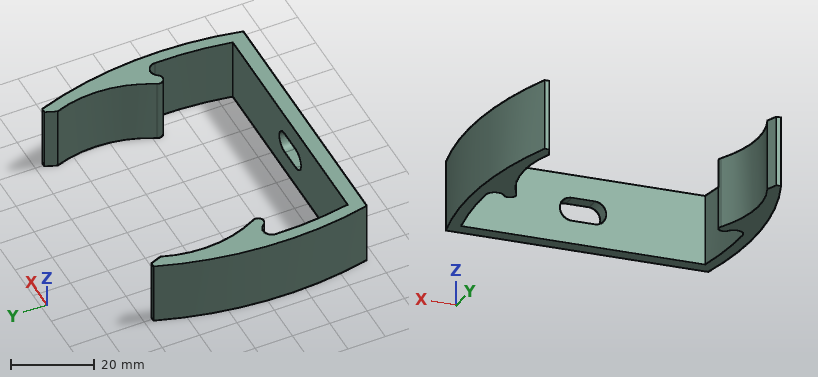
import cadquery as cq
import math

overall_width = 73.0
overall_depth = 55.5
height = 18.0

base_thickness = 4.0
arm_outer_radius = 100.0
arm_thickness = 3.15
bulge_y = 22.0

seat_width = 60.6
seat_radius = 31.0
seat_y = 41.6

groove_radius = 2.3
lip_y = 26.1
lip_radius = 1.5

seat_end_y = 52.5
tip_width = 1.25

slot_length = 12.0
slot_width = 6.0

arm_inner_radius = arm_outer_radius - arm_thickness
arm_centre = (overall_width / 2 - arm_outer_radius, bulge_y)
seat_centre = (seat_width / 2 - seat_radius, seat_y)


def on_circle(centre, radius, y):
    """Point at height y on the +X half of a circle."""
    return (centre[0] + math.sqrt(radius**2 - (y - centre[1]) ** 2), y)


def toward(start, target, distance):
    """Point at a distance from start in the direction of target."""
    span = math.dist(start, target)
    return tuple(s + (t - s) * distance / span for s, t in zip(start, target))


def clockwise_intersection(centre_a, radius_a, centre_b, radius_b):
    """Intersection of two circles on the clockwise side of the line from a to b."""
    span = math.dist(centre_a, centre_b)
    along = (radius_a**2 - radius_b**2 + span**2) / (2 * span)
    aside = math.sqrt(radius_a**2 - along**2)
    ux = (centre_b[0] - centre_a[0]) / span
    uy = (centre_b[1] - centre_a[1]) / span
    return (
        centre_a[0] + along * ux + aside * uy,
        centre_a[1] + along * uy - aside * ux,
    )


def make_half_clip():
    """Solid of the +X half: half the base plate and one arm."""
    lip_centre = on_circle(seat_centre, seat_radius + lip_radius, lip_y)
    groove_centre = clockwise_intersection(
        arm_centre, arm_inner_radius - groove_radius, lip_centre, lip_radius + groove_radius
    )

    base_corner = on_circle(arm_centre, arm_outer_radius, 0)
    tip_outer = on_circle(arm_centre, arm_outer_radius, overall_depth)
    tip_inner = (tip_outer[0] - tip_width, overall_depth)
    seat_end = on_circle(seat_centre, seat_radius, seat_end_y)
    seat_start = toward(lip_centre, seat_centre, lip_radius)
    lip_end = toward(groove_centre, lip_centre, groove_radius)
    groove_end = toward(arm_centre, groove_centre, arm_inner_radius)
    inner_corner = on_circle(arm_centre, arm_inner_radius, base_thickness)

    outer_mid = on_circle(arm_centre, arm_outer_radius, bulge_y)
    seat_mid = on_circle(seat_centre, seat_radius, seat_y)
    lip_mid = (lip_centre[0], lip_centre[1] - lip_radius)
    groove_mid = (groove_centre[0], groove_centre[1] + groove_radius)
    inner_mid = on_circle(arm_centre, arm_inner_radius, (groove_end[1] + base_thickness) / 2)

    return (
        cq.Workplane("XY")
        .moveTo(0, 0)
        .lineTo(*base_corner)
        .threePointArc(outer_mid, tip_outer)
        .lineTo(*tip_inner)
        .lineTo(*seat_end)
        .threePointArc(seat_mid, seat_start)
        .threePointArc(lip_mid, lip_end)
        .threePointArc(groove_mid, groove_end)
        .threePointArc(inner_mid, inner_corner)
        .lineTo(0, base_thickness)
        .close()
        .extrude(height)
    )


def make_fixing_slot():
    """Obround cutter through the base, along X and centred in the height."""
    return (
        cq.Workplane("XZ", origin=(0, 0, height / 2))
        .slot2D(slot_length, slot_width)
        .extrude(-base_thickness)
    )


half_clip = make_half_clip()
clip = half_clip.union(half_clip.mirror("YZ"))
result = clip.cut(make_fixing_slot())